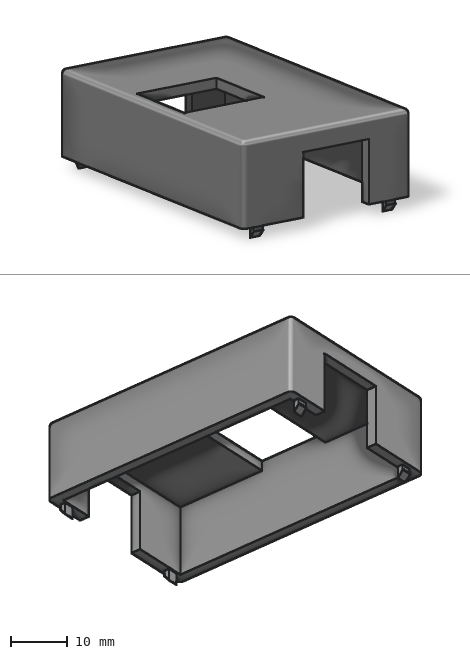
import cadquery as cq

length = 56
width = 36.0
total_height = 18.4
clip_drop = 2.4
shell_height = total_height - clip_drop
wall = 2.0
edge_radius = 1.0

window_length = 14.5
window_width = 17.0
window_front_margin = wall

notch_width = 14
notch_height = 12.0
notch_back_margin = 9.0

clip_width = 2.0
clip_side_margin = 2.8
clip_outer_inset = 0.8
clip_inner_inset = 1.8
barb_inset = 0.6
barb_drop = 1.0


def make_shell():
    outer = cq.Workplane("XY").box(length, width, shell_height, centered=(True, True, False))
    outer = outer.edges("|Z or >Z").fillet(edge_radius)
    cavity = cq.Workplane("XY").box(
        length - 2 * wall, width - 2 * wall, shell_height - wall, centered=(True, True, False)
    )
    return outer.cut(cavity)


def make_window():
    center_y = -width / 2 + window_front_margin + window_width / 2
    return (
        cq.Workplane("XY")
        .center(0, center_y)
        .box(window_length, window_width, shell_height + wall, centered=(True, True, False))
    )


def make_notch():
    center_y = width / 2 - notch_back_margin - notch_width / 2
    return (
        cq.Workplane("XY")
        .center(0, center_y)
        .box(length, notch_width, notch_height, centered=(True, True, False))
    )


def make_left_clip(center_y):
    """Clip on the -X end: a short leg with an outward barb and a sloped lead-in."""
    end_x = -length / 2
    outer_x = end_x + clip_outer_inset
    inner_x = end_x + clip_inner_inset
    profile = [
        (inner_x, 0),
        (outer_x, 0),
        (outer_x, -barb_drop),
        (end_x + barb_inset, -barb_drop),
        (inner_x, -clip_drop),
    ]
    return (
        cq.Workplane("XZ", origin=(0, center_y, 0))
        .polyline(profile)
        .close()
        .extrude(clip_width / 2, both=True)
    )


result = make_shell().cut(make_window()).cut(make_notch())

clip_y = width / 2 - clip_side_margin - clip_width / 2
for center_y in (-clip_y, clip_y):
    left_clip = make_left_clip(center_y)
    result = result.union(left_clip).union(left_clip.mirror("YZ"))